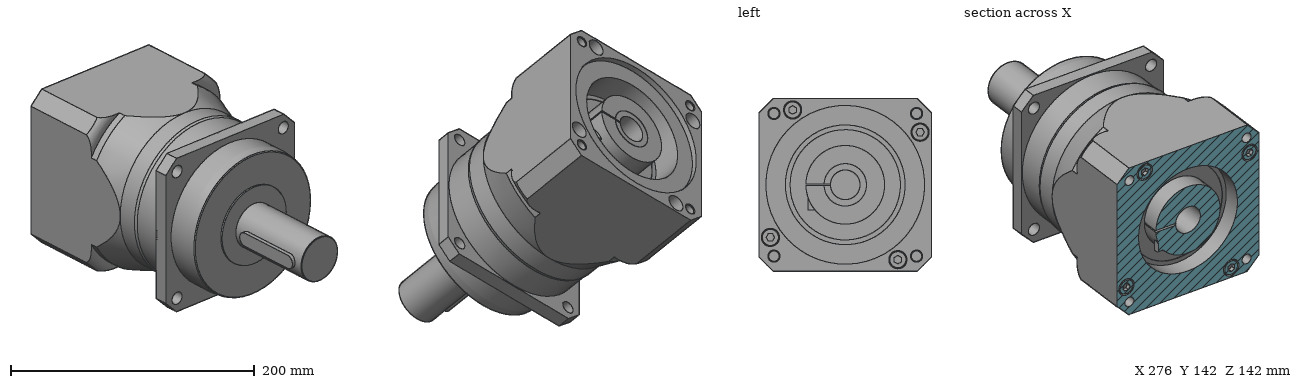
import cadquery as cq
import math


square_side = 142.0
corner_chamfer = 12.0

plate_end = 32.3
block_end = 74.2
neck_end = 81.0
taper_end = 109.8
barrel_end = 127.2
ring_start = 129.7
flange_start = 154.0
flange_end = 166.0
pilot_taper_start = 185.7
pilot_end = 193.8
seal_end = 195.5
shaft_end = 276.0

barrel_radius = square_side / 2
block_turn_radius = 92.7
block_edge_round = 8.8
neck_radius = 81.5
ring_radius = 70.0
pilot_radius = 65.0
pilot_end_radius = 64.3
pilot_edge_chamfer = 0.8
seal_radius = 35.3
shaft_radius = 20.1
shaft_chamfer = 0.5

key_length = 64.9
key_width = 12.1
key_start = 203.0
key_top = 23.0

register_radius = 65.0
register_depth = 5.0
cavity_radius = 49.0
floor_recess_radius = 45.3
floor_recess_depth = 0.5
collar_radius = 32.3
collar_start = 5.5
sleeve_radius = 17.5
sleeve_setback = 0.3
bore_radius = 12.1
bore_end = 55.2
slit_width = 1.5

clamp_head_radius = 5.0
clamp_head_y = 25.7
clamp_head_bottom = -20.7
clamp_head_height = 11.0
clamp_head_x = 19.3

corner_hole_offset = 58.5
flange_hole_diameter = 11.0
tapped_hole_diameter = 8.5
tapped_hole_mouth = 10.0

screw_circle_radius = 75.0
screw_first_angle = 54.9
screw_hole_radius = 7.5
screw_seat_depth = 24.3
screw_head_radius = 6.5
screw_head_height = 8.0
socket_across_flats = 6.0
socket_depth = 4.0


def plane_at(x):
    """Sketch plane normal to the axis, with local X along +Y and local Y along +Z."""
    return cq.Plane(origin=(x, 0, 0), xDir=(0, 1, 0), normal=(1, 0, 0))


def cylinder(start, end, radius):
    return cq.Workplane(plane_at(start)).circle(radius).extrude(end - start)


def chamfered_square(start, end):
    square = cq.Workplane(plane_at(start)).rect(square_side, square_side).extrude(end - start)
    return square.edges("|X").chamfer(corner_chamfer)


def corner_points():
    signs = (-1, 1)
    return [(corner_hole_offset * y, corner_hole_offset * z) for y in signs for z in signs]


def make_block():
    """Square block and neck: a turned shape trimmed by the chamfered square."""
    round_start = block_end - block_edge_round
    round_foot = block_turn_radius - block_edge_round
    round_mid = block_edge_round * math.sqrt(0.5)
    turned = (
        cq.Workplane("XY")
        .lineTo(0, block_turn_radius)
        .lineTo(round_start, block_turn_radius)
        .threePointArc((round_start + round_mid, round_foot + round_mid), (block_end, round_foot))
        .lineTo(block_end, neck_radius)
        .lineTo(neck_end, neck_radius)
        .lineTo(taper_end, barrel_radius)
        .lineTo(taper_end, 0)
        .close()
        .revolve(360, (0, 0, 0), (1, 0, 0))
    )
    return turned.intersect(chamfered_square(0, taper_end))


def make_output_side():
    """Barrel, ring, pilot, seal and shaft turned in one profile."""
    return (
        cq.Workplane("XY")
        .moveTo(taper_end, 0)
        .lineTo(taper_end, barrel_radius)
        .lineTo(barrel_end, barrel_radius)
        .lineTo(ring_start, ring_radius)
        .lineTo(flange_start, ring_radius)
        .lineTo(flange_start, pilot_radius)
        .lineTo(pilot_taper_start, pilot_radius)
        .lineTo(pilot_end - pilot_edge_chamfer, pilot_end_radius)
        .lineTo(pilot_end, pilot_end_radius - pilot_edge_chamfer)
        .lineTo(pilot_end, seal_radius)
        .lineTo(seal_end, seal_radius)
        .lineTo(seal_end, shaft_radius)
        .lineTo(shaft_end - shaft_chamfer, shaft_radius)
        .lineTo(shaft_end, shaft_radius - shaft_chamfer)
        .lineTo(shaft_end, 0)
        .close()
        .revolve(360, (0, 0, 0), (1, 0, 0))
    )


def make_flange():
    flange = chamfered_square(flange_start, flange_end)
    holes = (
        cq.Workplane(plane_at(flange_start))
        .pushPoints(corner_points())
        .circle(flange_hole_diameter / 2)
        .extrude(flange_end - flange_start)
    )
    return flange.cut(holes)


def make_key():
    """Round-ended key on the -Y side of the shaft."""
    return (
        cq.Workplane("XZ")
        .center(key_start + key_length / 2, 0)
        .slot2D(key_length, key_width)
        .extrude(key_top)
    )


def cut_cavity(body):
    floor_end = plate_end + floor_recess_depth
    body = body.cut(cylinder(0, register_depth, register_radius))
    body = body.cut(cylinder(0, plate_end, cavity_radius))
    return body.cut(cylinder(plate_end, floor_end, floor_recess_radius))


def make_collar():
    """Slit clamp collar with a slightly set back sleeve and the clamp screw head."""
    floor_end = plate_end + floor_recess_depth
    slit = (
        cq.Workplane("XY", origin=(collar_start, 0, 0))
        .box(floor_end - collar_start, collar_radius, slit_width, centered=(False, False, True))
    )
    clamp_head = (
        cq.Workplane("XY", origin=(clamp_head_x, clamp_head_y, clamp_head_bottom))
        .circle(clamp_head_radius)
        .extrude(clamp_head_height)
    )
    collar = cylinder(collar_start, floor_end, collar_radius)
    collar = collar.cut(cylinder(collar_start, collar_start + sleeve_setback, sleeve_radius))
    return collar.cut(slit).union(clamp_head)


def cut_tapped_holes(body):
    """Blind holes through the plate thickness with a 45 degree mouth."""
    hole_radius = tapped_hole_diameter / 2
    mouth_radius = tapped_hole_mouth / 2
    profile = (
        cq.Workplane("XY")
        .lineTo(0, mouth_radius)
        .lineTo(mouth_radius - hole_radius, hole_radius)
        .lineTo(plate_end, hole_radius)
        .lineTo(plate_end, 0)
        .close()
    )
    hole = profile.revolve(360, (0, 0, 0), (1, 0, 0))
    for y, z in corner_points():
        body = body.cut(hole.translate((0, y, z)))
    return body


def add_sunk_screws(body):
    """Four socket screw heads standing on the floors of their holes, a quarter turn apart."""
    head_top = screw_seat_depth - screw_head_height
    socket_across_corners = socket_across_flats / math.cos(math.pi / 6)
    hole = cylinder(0, screw_seat_depth, screw_hole_radius)
    socket = cq.Workplane(plane_at(head_top)).polygon(6, socket_across_corners).extrude(socket_depth)
    socket = socket.rotate((0, 0, 0), (1, 0, 0), 90)
    head = cylinder(head_top, screw_seat_depth, screw_head_radius).cut(socket)

    angle = math.radians(screw_first_angle)
    spot = (0, screw_circle_radius * math.cos(angle), screw_circle_radius * math.sin(angle))
    for quarter in range(4):
        turn = ((0, 0, 0), (1, 0, 0), 90 * quarter)
        body = body.cut(hole.translate(spot).rotate(*turn))
        body = body.union(head.translate(spot).rotate(*turn))
    return body


gearbox = cut_cavity(make_block()).union(make_collar())
gearbox = gearbox.cut(cylinder(collar_start, bore_end, bore_radius))
gearbox = add_sunk_screws(cut_tapped_holes(gearbox))
result = gearbox.union(make_output_side()).union(make_flange()).union(make_key())